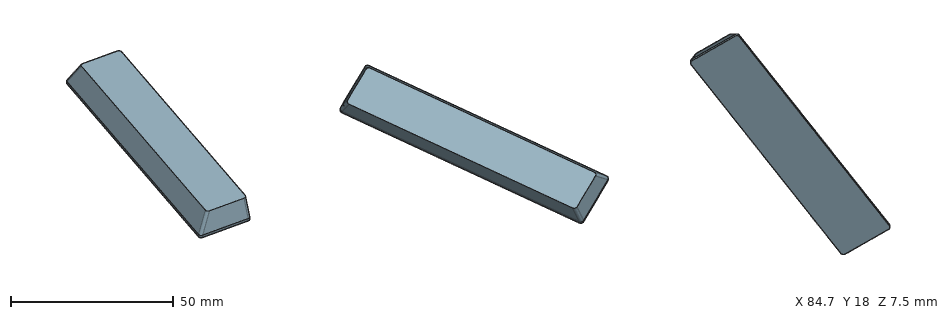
import cadquery as cq

LENGTH = 84.7
WIDTH = 18.0
HEIGHT = 7.5

RIM_HEIGHT = 1.0

CORNER_RADIUS = 1.0

SIDE_INSET = 2.4
FRONT_INSET = 3.7
BACK_INSET = 0.135

TOP_LENGTH = LENGTH - 2 * SIDE_INSET
TOP_WIDTH = WIDTH - FRONT_INSET - BACK_INSET
TOP_CENTER_Y = (FRONT_INSET - BACK_INSET) / 2


def make_tapered_body():
    """Flat-sided body narrowing from the rim to the top face, with rounded corners."""
    wedge = (
        cq.Workplane("XY", origin=(0, 0, RIM_HEIGHT))
        .rect(LENGTH, WIDTH)
        .workplane(offset=HEIGHT - RIM_HEIGHT)
        .center(0, TOP_CENTER_Y)
        .rect(TOP_LENGTH, TOP_WIDTH)
        .loft(ruled=True)
    )
    return wedge.edges("not(|X or |Y)").fillet(CORNER_RADIUS)


def make_rim(body):
    """Upright band that continues the body's bottom outline down to the base."""
    return body.faces("<Z").wires().toPending().workplane().extrude(RIM_HEIGHT, combine=False)


tapered_body = make_tapered_body()
result = tapered_body.union(make_rim(tapered_body))